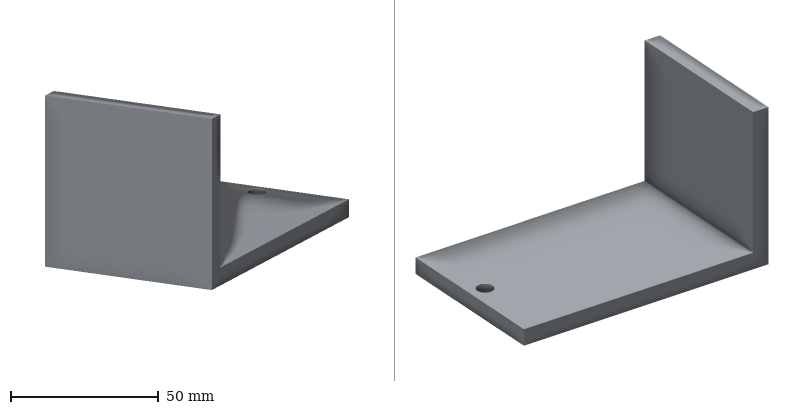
import cadquery as cq

width = 63.5
depth = 101.6
height = 60.325
thickness = 6.35
hole_diameter = 6.35
hole_edge_distance = 6.35


def make_base():
    """Flat base plate with its front bottom edge on the X axis."""
    return cq.Workplane("XY").box(width, depth, thickness, centered=(True, False, False))


def make_upright():
    """Upright plate standing along the front edge, full height."""
    return cq.Workplane("XY").box(width, thickness, height, centered=(True, False, False))


def make_hole():
    """Cutter for the through hole on the centreline near the back edge."""
    return (
        cq.Workplane("XY")
        .center(0, depth - hole_edge_distance)
        .circle(hole_diameter / 2)
        .extrude(thickness)
    )


result = make_base().union(make_upright()).cut(make_hole())